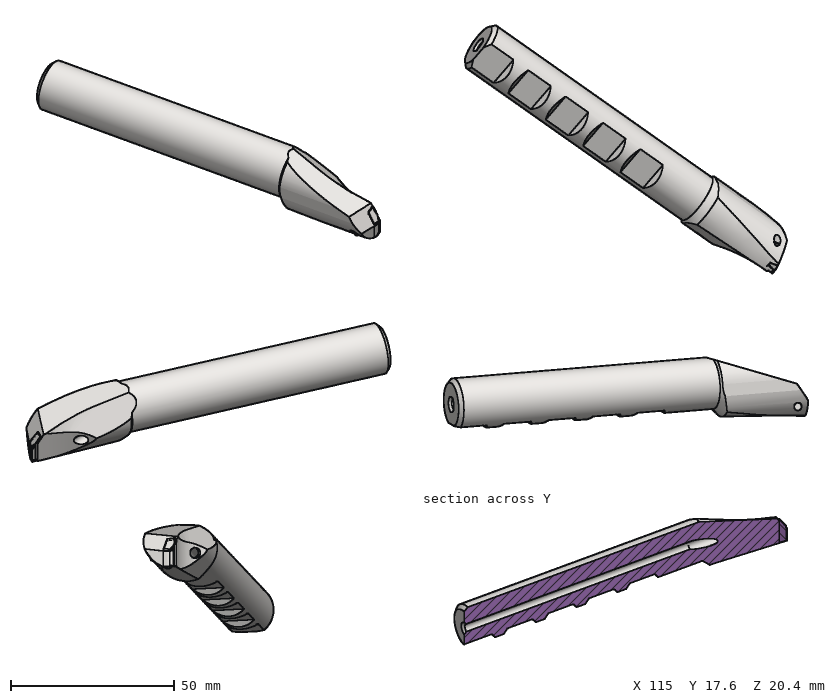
import cadquery as cq
import math

length = 115.0
margin = 23.0

shank_diameter = 16.0
shank_radius = shank_diameter / 2
end_chamfer = 1.3
flat_depth = 1.7
recess_pitch = 14.5
first_recess_end = 11.2
land_width = 3.0
recess_flank_run = 1.4
recess_count = 5

bore_radius = 1.6
bore_mouth_radius = 2.4
bore_bend_x = 80.5
outlet_center = (101.2, 5.2, -5.2)
outlet_overrun = 2.3

shoulder_x = 84.8
shoulder_radius = 10.6
tip_radius = 12.3

head_radius = 8.6
side_top = (-8.5, 1.4)
side_bottom = (-9.0, -2.3)
belly_middle = (-7.1, -7.8)
belly_end = (-3.1, -11.6)
heel = (0.3, -13.8)
flank_angle = -37.0

top_point = (85.3, -3.5, 7.8)
top_normal = (0.36, 0.12, 1.0)

tip_point = (112.6, 1.2, -3.9)
tip_normal = (1.0, -0.06, 0.68)
relief_point = (114.9, -1.2, 0.0)
relief_normal = (1.0, -0.2, 0.0)

scoop_start = (95.5, 9.2)
scoop_middle = (102.7, 3.7)
scoop_end = (112.7, 1.8)

gullet_wall_start = (74.1, 16.5)
gullet_wall_end = (99.7, 2.9)
gullet_middle = (103.6, 1.4)
gullet_end = (108.5, 1.2)
gullet_direction = (7.5, 2.0, -5.4)

insert_back = 112.2
insert_rake_y = 1.3
insert_corner = (114.1, insert_rake_y)
insert_nose = (length, 0.2)
insert_under_back = (insert_back, -1.3)
insert_under_front = (114.7, -1.8)
rake_clearance_x = 113.4
insert_proud = 0.3
height = 20.4
insert_bottom = shank_radius - height
insert_keel_normal = (-0.1, 0.5, -0.9)

screw_mouth = (110.2, -8.0, -7.6)
screw_direction = (0.3, 1.0, -0.3)
screw_hole_radius = 1.2
screw_start = 2.1
screw_end = 5.2
screw_access = 5.8


def half_space(point, normal):
    """A large block filling the side of a plane that its normal points to."""
    size = 2 * length
    plane = cq.Plane(origin=point, normal=normal)
    return cq.Workplane(plane).rect(size, size).extrude(size)


def slanted_prism(outline, direction):
    """Sweep an outline drawn at z = 0 along an inclined direction, both ways."""
    reach = cq.Vector(*direction).normalized() * (2 * margin)
    wire = outline.val().moved(cq.Location(reach * -1))
    return cq.Workplane(cq.Solid.extrudeLinear(wire, [], reach * 2))


def make_shank():
    shank = cq.Workplane("YZ").circle(shank_radius).extrude(shoulder_x)
    shank = shank.faces("<X").chamfer(end_chamfer)
    for index in range(recess_count):
        shank = shank.cut(make_recess(index))
    return shank


def make_recess(index):
    """One clamping recess with sloped ends; the first one runs out at the shank end."""
    end = first_recess_end + index * recess_pitch
    start = end - recess_pitch + land_width if index else -margin
    bottom = -shank_radius
    floor = bottom + flat_depth
    outline = [
        (start, bottom),
        (start + recess_flank_run, floor),
        (end - recess_flank_run, floor),
        (end, bottom),
    ]
    return cq.Workplane("XZ").polyline(outline).close().extrude(margin, both=True)


def make_head_blank():
    shoulder_end = shoulder_x + shoulder_radius - shank_radius
    half_outline = [
        (shoulder_x, 0),
        (shoulder_x, shank_radius),
        (shoulder_end, shoulder_radius),
        (length, tip_radius),
        (length, 0),
    ]
    blank = cq.Workplane("XY").polyline(half_outline).close()
    return blank.revolve(360, (0, 0, 0), (1, 0, 0))


def make_head_section():
    """The constant section of the head, running along X."""
    flank = math.radians(flank_angle)
    flank_top = (head_radius * math.cos(flank), head_radius * math.sin(flank))
    section = (
        cq.Workplane("YZ")
        .moveTo(*side_top)
        .lineTo(*side_bottom)
        .threePointArc(belly_middle, belly_end)
        .lineTo(*heel)
        .lineTo(*flank_top)
        .threePointArc((0, head_radius), side_top)
        .close()
    )
    return section.extrude(length)


def make_hollow(start, middle, end):
    """Outline of a hollow cut: an arc, carried straight past the tip and closed on the +Y side."""
    past_tip = length + margin
    outside_y = 3 * margin
    return (
        cq.Workplane("XY")
        .moveTo(*start)
        .threePointArc(middle, end)
        .lineTo(past_tip, end[1])
        .lineTo(past_tip, outside_y)
        .lineTo(start[0], outside_y)
    )


def make_scoop():
    """Upright concave cut that thins the +Y side of the head toward the tip."""
    outline = make_hollow(scoop_start, scoop_middle, scoop_end).close()
    return outline.extrude(2 * margin, both=True)


def make_gullet():
    """Inclined chip gullet: a flat wall running into a hollow behind the tip."""
    outline = make_hollow(gullet_wall_end, gullet_middle, gullet_end).lineTo(*gullet_wall_start).close()
    return slanted_prism(outline, gullet_direction)


def make_coolant_bore():
    """Straight bore from the shank end, then a branch that leaves through the scoop."""
    bore = cq.Workplane("YZ").circle(bore_radius).extrude(bore_bend_x)
    mouth_depth = bore_mouth_radius - bore_radius
    mouth = cq.Solid.makeCone(
        bore_mouth_radius, bore_radius, mouth_depth, cq.Vector(0, 0, 0), cq.Vector(1, 0, 0)
    )
    bend = cq.Vector(bore_bend_x, 0, 0)
    branch = cq.Vector(*outlet_center) - bend
    outlet = cq.Solid.makeCylinder(bore_radius, branch.Length + outlet_overrun, bend, branch)
    elbow = cq.Workplane("XY").sphere(bore_radius).translate(bend)
    return bore.union(cq.Workplane(mouth)).union(cq.Workplane(outlet)).union(elbow)


def screw_cylinder(start, end):
    """Cylinder on the screw axis between two distances from the hole mouth."""
    axis = cq.Vector(*screw_direction).normalized()
    base = cq.Vector(*screw_mouth) + axis * start
    return cq.Workplane(cq.Solid.makeCylinder(screw_hole_radius, end - start, base, axis))


def make_insert():
    outline = [
        (insert_back, insert_rake_y),
        insert_corner,
        insert_nose,
        insert_under_front,
        insert_under_back,
    ]
    bar = cq.Workplane("XY").workplane(offset=insert_bottom).polyline(outline).close().extrude(margin)
    raised = cq.Vector(*tip_point) + cq.Vector(*tip_normal).normalized() * insert_proud
    bar = bar.cut(half_space(raised.toTuple(), tip_normal))
    return bar.cut(half_space((length, 0, insert_bottom), insert_keel_normal))


def make_rake_clearance():
    """Open space in front of the rake face, beside the insert."""
    space = cq.Workplane("XY").rect(margin, margin, centered=False).extrude(margin, both=True)
    return space.translate((rake_clearance_x, insert_rake_y, 0))


def make_holder(insert):
    head = make_head_blank().intersect(make_head_section())
    head = head.cut(half_space(tip_point, tip_normal))
    head = head.cut(half_space(relief_point, relief_normal))
    head = head.cut(make_scoop())
    head = head.cut(make_rake_clearance())
    holder = make_shank().union(head)
    holder = holder.cut(half_space(top_point, top_normal))
    holder = holder.cut(make_gullet())
    holder = holder.cut(make_coolant_bore())
    holder = holder.cut(screw_cylinder(-screw_access, screw_end))
    return holder.cut(insert)


insert = make_insert()
holder = make_holder(insert)
screw = screw_cylinder(screw_start, screw_end)

result = cq.Compound.makeCompound([holder.solids().val(), insert.solids().val(), screw.val()])